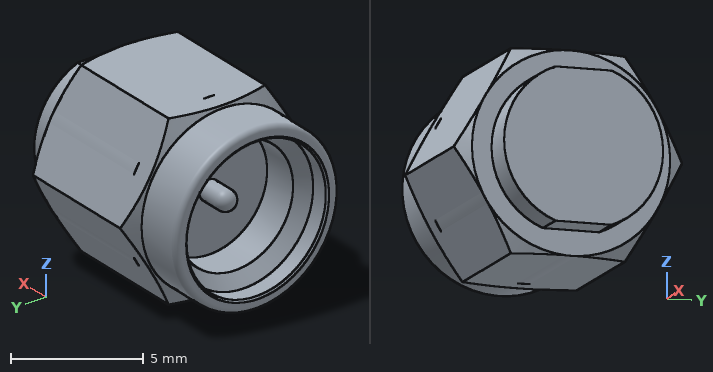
import cadquery as cq
import math

total_length = 9.8

collar_radius = 3.87
collar_length = 2.15
collar_fillet = 0.25

hex_corner_radius = 4.58
hex_flat_radius = hex_corner_radius * math.cos(math.pi / 6)
hex_end = 8.38
hex_length = hex_end - collar_length
hex_chamfer_angle = math.radians(30)

strip_width = 0.47
strip_start = 3.05
sleeve_radius = math.hypot(hex_flat_radius, strip_width / 2)

neck_radius = 3.185
neck_flat_height = 5.96

mouth_radius = 3.29
mouth_chamfer = 0.09
mouth_depth = 0.88
bore_radius = 2.73
cone_length = 0.52
socket_depth = 3.03

pin_radius = 0.46
pin_tip = 1.58


def rod(radius, start, end):
    """Solid cylinder on the X axis."""
    return cq.Workplane("YZ", origin=(start, 0, 0)).circle(radius).extrude(end - start)


def make_collar():
    return rod(collar_radius, 0, collar_length).faces("<X").edges().fillet(collar_fillet)


def make_hexagon():
    prism = (
        cq.Workplane("YZ", origin=(collar_length, 0, 0))
        .polygon(6, 2 * hex_corner_radius)
        .extrude(hex_length)
    )
    slope = math.tan(hex_chamfer_angle)
    front_bevel = (hex_corner_radius - collar_radius) * slope
    rear_bevel = (hex_corner_radius - sleeve_radius) * slope
    envelope = (
        cq.Workplane("XY")
        .moveTo(collar_length, 0)
        .lineTo(collar_length, collar_radius)
        .lineTo(collar_length + front_bevel, hex_corner_radius)
        .lineTo(hex_end - rear_bevel, hex_corner_radius)
        .lineTo(hex_end, sleeve_radius)
        .lineTo(hex_end, 0)
        .close()
        .revolve(360, (0, 0, 0), (1, 0, 0))
    )
    return prism.intersect(envelope)


def make_neck():
    flats = cq.Workplane("XY").box(2 * total_length, 2 * neck_radius, neck_flat_height)
    return rod(neck_radius, hex_end, total_length).intersect(flats)


def make_socket():
    cone_end = mouth_depth + cone_length
    return (
        cq.Workplane("XY")
        .lineTo(0, mouth_radius + mouth_chamfer)
        .lineTo(mouth_chamfer, mouth_radius)
        .lineTo(mouth_depth, mouth_radius)
        .lineTo(cone_end, bore_radius)
        .lineTo(socket_depth, bore_radius)
        .lineTo(socket_depth, 0)
        .close()
        .revolve(360, (0, 0, 0), (1, 0, 0))
    )


def make_pin():
    ball_center = pin_tip + pin_radius
    ball = cq.Workplane("XY").sphere(pin_radius).translate((ball_center, 0, 0))
    return rod(pin_radius, ball_center, hex_end).union(ball)


body = make_collar().union(make_hexagon())
body = body.union(rod(sleeve_radius, strip_start, hex_end)).union(make_neck())
result = body.cut(make_socket()).union(make_pin())